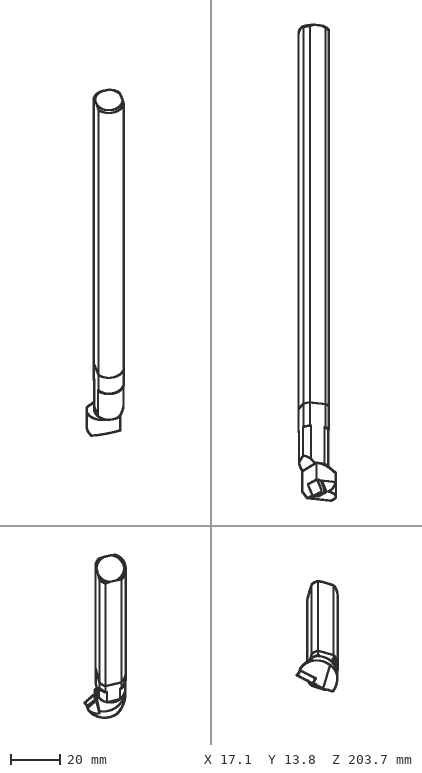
import cadquery as cq
import math

OVERALL_LENGTH = 203.66
OVERALL_WIDTH = 17.1
OVERALL_DEPTH = 13.81
HEAD_LENGTH = 40.0
NECK_LENGTH = 30.0

SHANK_RADIUS = 6.35
FLAT_DISTANCE = 5.41
NECK_RADIUS = 6.1
END_CHAMFER = 0.8

HEAD_RADIUS = OVERALL_DEPTH - FLAT_DISTANCE
HEAD_AXIS_X = NECK_RADIUS - HEAD_RADIUS
SHOULDER_Z = 14.0
FLANK_X = -SHANK_RADIUS
CORNER_CHAMFER = 5.0

TIP_X = SHANK_RADIUS - OVERALL_WIDTH
RAKE_ANGLE = 11.3
FLUTE_Z = 13.9

INSERT_ANGLE = 55.0
INSERT_CIRCLE = 6.35
INSERT_THICKNESS = 2.38
INSERT_RELIEF = 7.0
NOSE_RADIUS = 0.4
END_EDGE_ANGLE = 2.0
SUPPORT_INSET = 0.5

MARGIN = 20.0


def polar(length, angle):
    return (length * math.cos(math.radians(angle)), length * math.sin(math.radians(angle)))


def add(point, step):
    return (point[0] + step[0], point[1] + step[1])


def flatted_bar(radius, bottom, top):
    """Round bar along Z with flats on its -X, +Y and -Y sides."""
    height = top - bottom
    bar = cq.Workplane("XY").workplane(offset=bottom).circle(radius).extrude(height)
    keep = (
        cq.Workplane("XY").workplane(offset=bottom)
        .center((radius - FLAT_DISTANCE) / 2, 0)
        .rect(radius + FLAT_DISTANCE, 2 * FLAT_DISTANCE)
        .extrude(height)
    )
    return bar.intersect(keep)


def end_blank():
    """Turned blank whose top edge carries the shank's end chamfer."""
    return (
        cq.Workplane("XY").circle(SHANK_RADIUS).extrude(OVERALL_LENGTH)
        .faces(">Z").chamfer(END_CHAMFER)
    )


def rake_plane():
    """Local x runs along the rake face towards +X, local y is Z, the normal points into the head."""
    rake = math.radians(RAKE_ANGLE)
    return cq.Plane(
        origin=(TIP_X, 0, 0),
        xDir=(math.cos(rake), math.sin(rake), 0),
        normal=(math.sin(rake), -math.cos(rake), 0),
    )


side_edge_angle = END_EDGE_ANGLE + INSERT_ANGLE
bisector_angle = END_EDGE_ANGLE + INSERT_ANGLE / 2
edge_length = INSERT_CIRCLE / math.sin(math.radians(INSERT_ANGLE))
nose_to_corner = NOSE_RADIUS / math.sin(math.radians(INSERT_ANGLE / 2))
sharp_corner = add((NOSE_RADIUS, NOSE_RADIUS), polar(-nose_to_corner, bisector_angle))


def make_insert():
    """Rhombic insert with a rounded cutting nose, narrowing away from its rake face."""
    end_corner = add(sharp_corner, polar(edge_length, END_EDGE_ANGLE))
    side_corner = add(sharp_corner, polar(edge_length, side_edge_angle))
    far_corner = add(end_corner, polar(edge_length, side_edge_angle))
    return (
        cq.Workplane(rake_plane())
        .polyline([sharp_corner, end_corner, far_corner, side_corner]).close()
        .extrude(INSERT_THICKNESS, taper=INSERT_RELIEF)
        .edges("<X").fillet(NOSE_RADIUS)
    )


def head_profile():
    """Outline of the head seen along Y, behind the cutting edges of the insert."""
    inset_to_corner = SUPPORT_INSET / math.sin(math.radians(INSERT_ANGLE / 2))
    toe = add(add(sharp_corner, (TIP_X, 0)), polar(inset_to_corner, bisector_angle))
    flank_rise = (FLANK_X - toe[0]) * math.tan(math.radians(side_edge_angle))
    heel_x = NECK_RADIUS - CORNER_CHAMFER
    heel_z = toe[1] + (heel_x - toe[0]) * math.tan(math.radians(END_EDGE_ANGLE))
    return [
        toe,
        (heel_x, heel_z),
        (NECK_RADIUS, heel_z + CORNER_CHAMFER),
        (NECK_RADIUS, NECK_LENGTH),
        (FLANK_X, NECK_LENGTH),
        (FLANK_X, toe[1] + flank_rise),
    ]


def head_block():
    """Eccentric cylinder whose top is a 45 degree cone about the bar axis."""
    block = (
        cq.Workplane("XY").center(HEAD_AXIS_X, 0).circle(HEAD_RADIUS).extrude(SHOULDER_Z)
    )
    cone_radius = NECK_RADIUS + SHOULDER_Z
    cone = (
        cq.Workplane("XZ")
        .polyline([(0, 0), (cone_radius, 0), (NECK_RADIUS, SHOULDER_Z), (0, SHOULDER_Z)]).close()
        .revolve(360, (0, 0), (0, 1))
    )
    return block.intersect(cone)


def make_head():
    upper = flatted_bar(SHANK_RADIUS, NECK_LENGTH, HEAD_LENGTH)
    neck = flatted_bar(NECK_RADIUS, 0, NECK_LENGTH)
    outline = cq.Workplane("XZ").polyline(head_profile()).close().extrude(MARGIN, both=True)
    lower = neck.union(head_block()).intersect(outline)

    flute = (
        cq.Workplane(rake_plane().rotated((0, 90, 0)))
        .polyline([(0, -MARGIN), (0, FLUTE_Z), (MARGIN, FLUTE_Z + MARGIN), (MARGIN, -MARGIN)]).close()
        .extrude(2 * MARGIN, both=True)
    )
    return upper.union(lower.cut(flute))


shank = flatted_bar(SHANK_RADIUS, HEAD_LENGTH, OVERALL_LENGTH).intersect(end_blank())
insert = make_insert()
head = make_head().cut(insert)

result = cq.Compound.makeCompound([
    *shank.solids().vals(),
    *head.solids().vals(),
    *insert.solids().vals(),
])